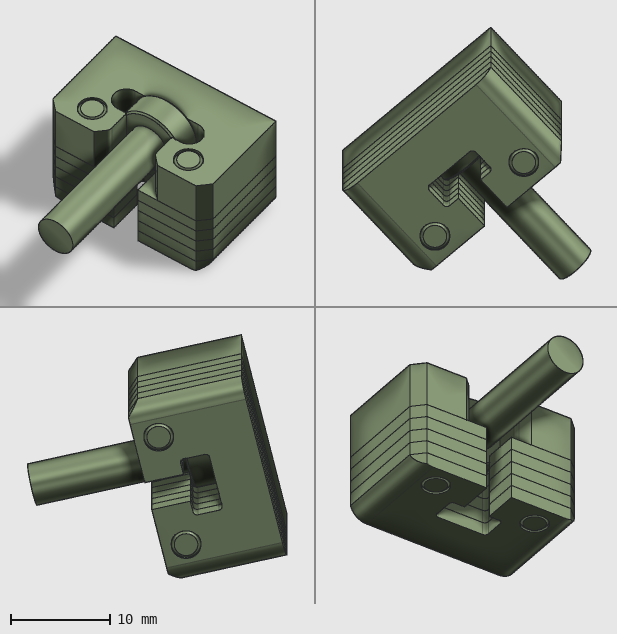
import cadquery as cq
import math


block_width = 20.0
block_depth = 12.0
corner_chamfer = 1.25

thin_plate_count = 5
thin_plate_height = 1.5
top_plate_height = 5.15
thin_stack_height = thin_plate_count * thin_plate_height
block_height = thin_stack_height + top_plate_height

edge_setback = 2.0

overall_length = 24.0
overall_height = 13.85
head_diameter = 7.7
head_thickness = 3.0
head_chamfer = 0.2
shank_diameter = 4.3
bolt_axis_z = overall_height - head_diameter / 2
shank_tip_y = block_depth - overall_length

pocket_length = 10.85
pocket_width = head_thickness
pocket_center_y = 5.5
pocket_back_y = pocket_center_y + pocket_width / 2
head_front_y = pocket_center_y - head_thickness / 2

entry_width = 5.65
entry_mouth_width = 7.95
entry_bevel = (entry_mouth_width - entry_width) / 2
entry_round_radius = 0.77

slot_width = 3.0
recess_length = 6.25
recess_corner_radius = 0.43

dowel_diameter = 3.0
dowel_chamfer = 0.3
dowel_spacing = 12.0
dowel_y = 2.5
dowel_places = [(-dowel_spacing / 2, dowel_y), (dowel_spacing / 2, dowel_y)]


def plate_blank(bottom_z, height):
    """Plate with bevelled front corners and a hole for each dowel."""
    return (
        cq.Workplane("XY", origin=(0, block_depth / 2, bottom_z))
        .rect(block_width, block_depth)
        .extrude(height)
        .edges("|Z and <Y")
        .chamfer(corner_chamfer)
        .cut(dowel_cylinders(bottom_z, height))
    )


def dowel_cylinders(bottom_z, height):
    """Plain cylinders at the dowel places."""
    return (
        cq.Workplane("XY", origin=(0, 0, bottom_z))
        .pushPoints(dowel_places)
        .circle(dowel_diameter / 2)
        .extrude(height)
    )


def head_pocket():
    """Round-ended pocket, long in X, that leaves room beside the bolt head."""
    return (
        cq.Workplane("XY", origin=(0, pocket_center_y, thin_stack_height))
        .slot2D(pocket_length, pocket_width)
        .extrude(top_plate_height)
    )


def t_slot(bottom_z, height):
    """Narrow stem from the block front, ending in a wider recess with rounded corners."""
    stem = (
        cq.Workplane("XY", origin=(0, pocket_back_y / 2, bottom_z))
        .rect(slot_width, pocket_back_y)
        .extrude(height)
    )
    recess = (
        cq.Workplane("XY", origin=(0, pocket_center_y, bottom_z))
        .rect(recess_length, pocket_width)
        .extrude(height)
        .edges("|Z")
        .fillet(recess_corner_radius)
    )
    return stem.union(recess)


def entry_cutter():
    """Entry that widens towards the front over rounded 45 degree bevels."""
    half_width = entry_width / 2
    half_mouth = entry_mouth_width / 2
    return (
        cq.Workplane("XY", origin=(0, 0, thin_stack_height))
        .polyline([
            (-half_mouth, 0),
            (half_mouth, 0),
            (half_width, entry_bevel),
            (half_width, pocket_center_y),
            (-half_width, pocket_center_y),
            (-half_width, entry_bevel),
        ])
        .close()
        .extrude(top_plate_height)
        .edges(cq.selectors.BoxSelector(
            (-block_width, entry_bevel / 2, thin_stack_height),
            (block_width, pocket_center_y / 2, block_height),
        ))
        .edges("|Z")
        .fillet(entry_round_radius)
    )


def rounded_bottom_bar():
    """Bar along Y whose lower side edges are arcs tangent to the underside."""
    half_width = block_width / 2
    half_flat = half_width - edge_setback
    arc_radius = (edge_setback ** 2 + thin_plate_height ** 2) / (2 * thin_plate_height)
    half_sweep = math.asin(edge_setback / arc_radius) / 2
    arc_mid_x = half_flat + arc_radius * math.sin(half_sweep)
    arc_mid_z = arc_radius * (1 - math.cos(half_sweep))
    return (
        cq.Workplane("XZ")
        .moveTo(-half_flat, 0)
        .lineTo(half_flat, 0)
        .threePointArc((arc_mid_x, arc_mid_z), (half_width, thin_plate_height))
        .lineTo(-half_width, thin_plate_height)
        .threePointArc((-arc_mid_x, arc_mid_z), (-half_flat, 0))
        .close()
        .extrude(-block_depth)
    )


def make_thin_plate(index):
    """Thin plate, counted from the bottom: only the lowest has rounded side edges."""
    bottom_z = index * thin_plate_height
    plate = plate_blank(bottom_z, thin_plate_height).cut(t_slot(bottom_z, thin_plate_height))
    if index == 0:
        plate = plate.intersect(rounded_bottom_bar())
    return plate


def make_top_plate():
    """Thick plate with the pocket and the bevelled entry."""
    return (
        plate_blank(thin_stack_height, top_plate_height)
        .cut(head_pocket())
        .cut(entry_cutter())
    )


def make_bolt():
    """Chamfered round head with a plain shank that points towards -Y."""
    head = (
        cq.Workplane("XZ", origin=(0, pocket_back_y, bolt_axis_z))
        .circle(head_diameter / 2)
        .extrude(head_thickness)
        .edges()
        .chamfer(head_chamfer)
    )
    shank = (
        cq.Workplane("XZ", origin=(0, head_front_y, bolt_axis_z))
        .circle(shank_diameter / 2)
        .extrude(head_front_y - shank_tip_y)
    )
    return head.union(shank)


def make_dowels():
    """Dowels through the whole stack, chamfered at both ends."""
    return dowel_cylinders(0, block_height).edges("%CIRCLE").chamfer(dowel_chamfer)


thin_plates = [make_thin_plate(index) for index in range(thin_plate_count)]
top_plate = make_top_plate()
bolt = make_bolt()
dowels = make_dowels()

result = cq.Compound.makeCompound([
    *[plate.val() for plate in thin_plates],
    top_plate.val(),
    bolt.val(),
    *dowels.vals(),
])